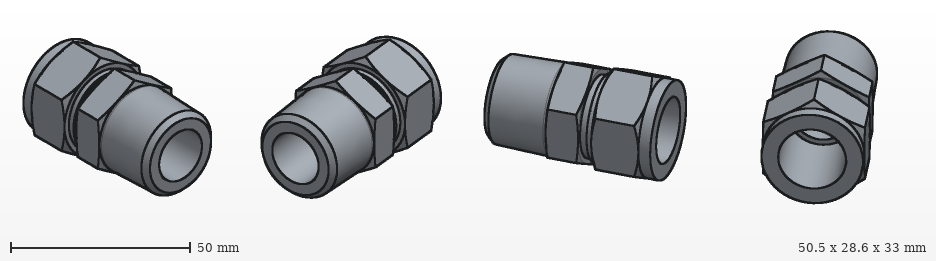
import cadquery as cq
import math

LENGTH = 50.55

COLLAR_END = 3.55
NUT_END = 17.6
RING_END = 19.55
NECK_END = 21.8
BODY_END = 31.5
TAPER_START = 32.3
TIP_START = 48.7

NUT_FLATS = 28.55
NUT_CHAMFER = 1.25
BODY_FLATS = 27.05
BODY_CHAMFER = 0.55

RING_RADIUS = 12.7
NECK_RADIUS = 11.95
THREAD_RADIUS = 13.4
TAPER_PER_SIDE = 1 / 32
TIP_RADIUS = 11.25

SOCKET_DIAMETER = 19.05
SOCKET_DEPTH = 24.25
BORE_DIAMETER = 15.75


def revolve_profile(points):
    """Turn an (x, radius) outline around the X axis."""
    return cq.Workplane("XY").polyline(points).close().revolve(360, (0, 0, 0), (1, 0, 0))


def cylinder(start, end, radius):
    """Round section between two stations."""
    return cq.Workplane("YZ", origin=(start, 0, 0)).circle(radius).extrude(end - start)


def chamfered_hexagon(start, end, flats, chamfer):
    """Hexagon with its corners turned down to the inscribed circle at both ends."""
    inner_radius = flats / 2
    corner_radius = flats / math.sqrt(3)
    hexagon = (
        cq.Workplane("YZ", origin=(start, 0, 0))
        .polygon(6, 2 * corner_radius)
        .extrude(end - start)
        .rotate((0, 0, 0), (1, 0, 0), 90)
    )
    envelope = revolve_profile([
        (start, 0),
        (start, inner_radius),
        (start + chamfer, corner_radius),
        (end - chamfer, corner_radius),
        (end, inner_radius),
        (end, 0),
    ])
    return hexagon.intersect(envelope)


collar = cylinder(0, COLLAR_END, NUT_FLATS / 2)
nut = chamfered_hexagon(COLLAR_END, NUT_END, NUT_FLATS, NUT_CHAMFER)

ring = cylinder(NUT_END, RING_END, RING_RADIUS)
neck = cylinder(RING_END, NECK_END, NECK_RADIUS)

body = chamfered_hexagon(NECK_END, BODY_END, BODY_FLATS, BODY_CHAMFER)

tip_start_radius = THREAD_RADIUS - TAPER_PER_SIDE * (TIP_START - TAPER_START)
pipe_end = revolve_profile([
    (BODY_END, 0),
    (BODY_END, THREAD_RADIUS),
    (TAPER_START, THREAD_RADIUS),
    (TIP_START, tip_start_radius),
    (LENGTH, TIP_RADIUS),
    (LENGTH, 0),
])

socket = cylinder(0, SOCKET_DEPTH, SOCKET_DIAMETER / 2)
bore = cylinder(0, LENGTH, BORE_DIAMETER / 2)

outside = collar.union(nut).union(ring).union(neck).union(body).union(pipe_end)
result = outside.cut(socket).cut(bore)